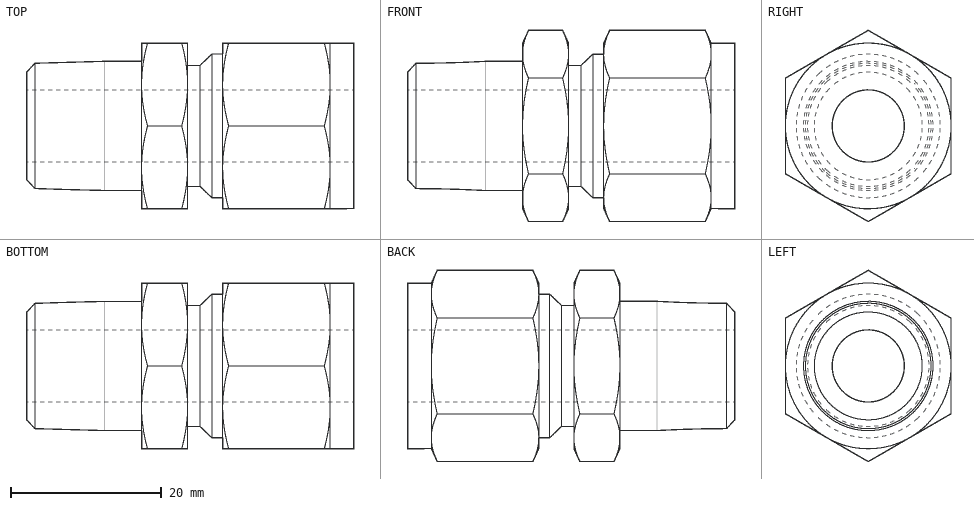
import cadquery as cq
import math

total_length = 43.4
tip_end = 1.1
taper_end = 10.35
body_hex_start = 15.25
body_hex_end = 21.35
neck_end = 23.0
cone_end = 24.55
nut_start = 26.0
nut_end = 40.28

across_flats = 22.0
bore_diameter = 9.55
tip_diameter = 14.32
thread_start_diameter = 16.65
thread_end_diameter = 17.2
neck_diameter = 16.1
collar_diameter = 19.1
hex_chamfer_angle = 25.0

across_corners = across_flats / math.cos(math.radians(30))
flat_radius = across_flats / 2
corner_radius = across_corners / 2
hex_chamfer_length = (corner_radius - flat_radius) * math.tan(math.radians(hex_chamfer_angle))


def turned_body():
    """Revolve the stepped round core that runs the full length of the fitting."""
    profile = [
        (0, 0),
        (0, tip_diameter / 2),
        (tip_end, thread_start_diameter / 2),
        (taper_end, thread_end_diameter / 2),
        (body_hex_end, thread_end_diameter / 2),
        (body_hex_end, neck_diameter / 2),
        (neck_end, neck_diameter / 2),
        (cone_end, collar_diameter / 2),
        (nut_start, collar_diameter / 2),
        (nut_start, flat_radius),
        (total_length, flat_radius),
        (total_length, 0),
    ]
    return cq.Workplane("XY").polyline(profile).close().revolve(360, (0, 0, 0), (1, 0, 0))


def chamfered_hex(start, end):
    """Hexagon with corners up and down (Z), its corners turned down conically at both ends."""
    prism = (
        cq.Workplane("YZ", origin=(start, 0, 0))
        .transformed(rotate=(0, 0, 90))
        .polygon(6, across_corners)
        .extrude(end - start)
    )
    envelope = (
        cq.Workplane("XY")
        .polyline([
            (start, 0),
            (start, flat_radius),
            (start + hex_chamfer_length, corner_radius),
            (end - hex_chamfer_length, corner_radius),
            (end, flat_radius),
            (end, 0),
        ])
        .close()
        .revolve(360, (0, 0, 0), (1, 0, 0))
    )
    return prism.intersect(envelope)


def through_bore():
    """Straight bore along the whole fitting."""
    return cq.Workplane("YZ").circle(bore_diameter / 2).extrude(total_length)


body_hex = chamfered_hex(body_hex_start, body_hex_end)
nut_hex = chamfered_hex(nut_start, nut_end)
result = turned_body().union(body_hex).union(nut_hex).cut(through_bore())